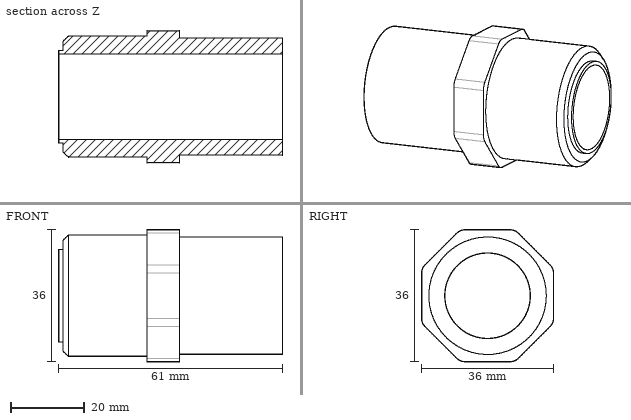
import cadquery as cq

total_length = 61.0
lip_length = 1.15
collar_start = 24.05
collar_end = 32.95

bore_diameter = 23.25
lip_diameter = 25.3
body_diameter = 33.1
tube_diameter = 32.0
collar_across_flats = 36.0
collar_sides = 8
collar_corner_radius = 3.0

bevel_axial = 1.5
bevel_radial = 1.45


def turned_body():
    """Stepped solid of revolution: lip, bevelled body and plain tube."""
    lip_radius = lip_diameter / 2
    body_radius = body_diameter / 2
    tube_radius = tube_diameter / 2
    profile = (
        cq.Workplane("XY")
        .moveTo(0, 0)
        .lineTo(0, lip_radius)
        .lineTo(lip_length, lip_radius)
        .lineTo(lip_length, body_radius - bevel_radial)
        .lineTo(lip_length + bevel_axial, body_radius)
        .lineTo(collar_start, body_radius)
        .lineTo(collar_start, tube_radius)
        .lineTo(total_length, tube_radius)
        .lineTo(total_length, 0)
        .close()
    )
    return profile.revolve(360, (0, 0, 0), (1, 0, 0))


def octagonal_collar():
    """Wrench collar with rounded corners and flats square to Y and Z."""
    return (
        cq.Workplane("YZ", origin=(collar_start, 0, 0))
        .polygon(collar_sides, collar_across_flats, circumscribed=True)
        .extrude(collar_end - collar_start)
        .edges("|X")
        .fillet(collar_corner_radius)
    )


def through_bore():
    """Cylinder to remove along the whole axis."""
    return cq.Workplane("YZ").circle(bore_diameter / 2).extrude(total_length)


result = turned_body().union(octagonal_collar()).cut(through_bore())